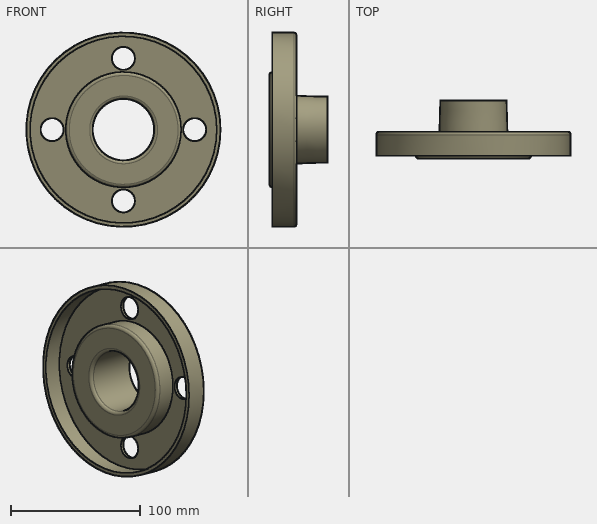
import cadquery as cq

flange_diameter = 150.0
flange_depth = 18.8
rim_wall = 3.0
floor_thickness = 3.0
back_edge_radius = 2.2

hub_diameter = 89.1
hub_projection = 2.2
hub_edge_radius = 2.5

total_depth = 45.0
neck_base_diameter = 52.6
neck_end_diameter = 51.3
bore_diameter = 47.2
bore_edge_radius = 2.5

bolt_hole_count = 4
bolt_hole_diameter = 17.5
bolt_circle_diameter = 110.0

hub_face = -hub_projection
flange_back = flange_depth
floor_face = flange_back - floor_thickness
neck_end = total_depth - hub_projection


def disc(diameter, start, end):
    """Solid cylinder on the Y axis from start to end."""
    plane = cq.Plane(origin=(0, start, 0), xDir=(1, 0, 0), normal=(0, 1, 0))
    return cq.Workplane(plane).circle(diameter / 2).extrude(end - start)


def make_cup():
    cup = disc(flange_diameter, 0, flange_back).faces(">Y").edges().fillet(back_edge_radius)
    return cup.cut(disc(flange_diameter - 2 * rim_wall, 0, floor_face))


def make_hub():
    hub = disc(hub_diameter, hub_face, flange_back)
    return hub.faces("<Y").edges().fillet(hub_edge_radius)


def make_neck():
    plane = cq.Plane(origin=(0, flange_back, 0), xDir=(1, 0, 0), normal=(0, 1, 0))
    return (
        cq.Workplane(plane)
        .circle(neck_base_diameter / 2)
        .workplane(offset=neck_end - flange_back)
        .circle(neck_end_diameter / 2)
        .loft()
    )


def make_bolt_holes():
    plane = cq.Plane(origin=(0, floor_face, 0), xDir=(1, 0, 0), normal=(0, 1, 0))
    return (
        cq.Workplane(plane)
        .polarArray(bolt_circle_diameter / 2, 0, 360, bolt_hole_count)
        .circle(bolt_hole_diameter / 2)
        .extrude(floor_thickness)
    )


body = make_cup().union(make_hub()).union(make_neck())
body = body.cut(disc(bore_diameter, hub_face, neck_end))

bore_mouth = cq.selectors.RadiusNthSelector(0)
body = body.faces("<Y").edges(bore_mouth).fillet(bore_edge_radius)

result = body.cut(make_bolt_holes())